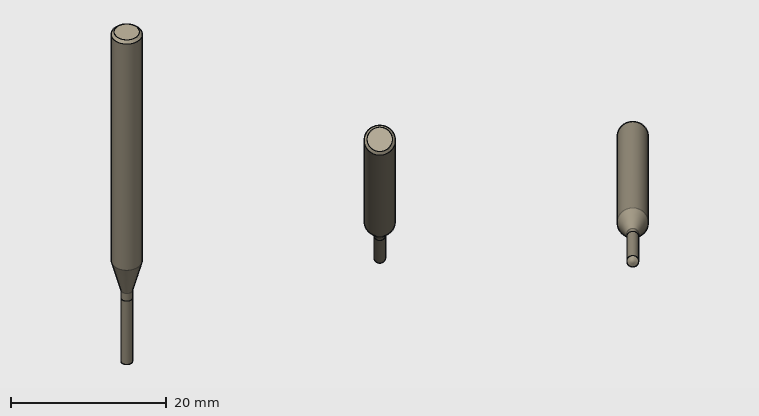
import cadquery as cq

total_length = 55.0
shank_radius = 4.0 / 2
cutter_radius = 1.55 / 2

chamfer_width = 0.4
chamfer_height = 0.4
taper_top = 17.0
neck_top = 12.1

cutter_top = 10.85
point_height = 0.3


def revolve_about_z(profile):
    """Turn a closed (Y, Z) profile, which has an edge on the axis, into a solid of revolution."""
    return cq.Workplane("YZ").polyline(profile).close().revolve(360, (0, 0), (0, 1))


def make_shank():
    """Chamfered cylindrical shank, tapering down to a short neck of the cutter's diameter."""
    return revolve_about_z([
        (0, cutter_top),
        (-cutter_radius, cutter_top),
        (-cutter_radius, neck_top),
        (-shank_radius, taper_top),
        (-shank_radius, total_length - chamfer_height),
        (-(shank_radius - chamfer_width), total_length),
        (0, total_length),
    ])


def make_cutter():
    """Slender cutting rod with a shallow conical point, butted against the neck."""
    return revolve_about_z([
        (0, 0),
        (-cutter_radius, point_height),
        (-cutter_radius, cutter_top),
        (0, cutter_top),
    ])


shank = make_shank()
cutter = make_cutter()

result = cq.Compound.makeCompound([shank.val(), cutter.val()])